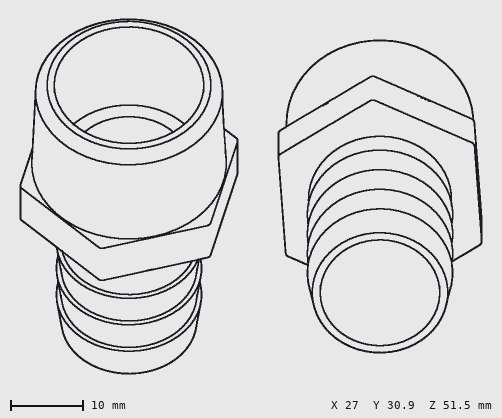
import cadquery as cq
import math

total_height = 51.55
hex_height = 7.0
thread_length = 17.05
hex_top = total_height - thread_length
hex_bottom = hex_top - hex_height

hex_across_flats = 26.95
hex_across_corners = hex_across_flats / math.cos(math.radians(30))
hex_corner_radius = 0.7

thread_base_diameter = 26.7
thread_top_diameter = 25.7
thread_tip_diameter = 22.5
thread_chamfer_height = 1.5

barb_small_diameter = 18.6
barb_large_diameter = 19.95
barb_pitch = 5.8
barb_count = math.ceil(hex_bottom / barb_pitch)

hose_bore_diameter = 16.4
thread_bore_diameter = 20.5


def frustum(bottom_z, height, bottom_diameter, top_diameter):
    """Solid cone section about the Z axis."""
    solid = cq.Solid.makeCone(
        bottom_diameter / 2, top_diameter / 2, height, cq.Vector(0, 0, bottom_z)
    )
    return cq.Workplane("XY").newObject([solid])


def make_hex_collar():
    """Hexagonal prism with corners on the Y axis and rounded vertical edges."""
    return (
        cq.Workplane("XY", origin=(0, 0, hex_bottom))
        .polygon(6, hex_across_corners)
        .extrude(hex_height)
        .rotate((0, 0, 0), (0, 0, 1), 30)
        .edges("|Z")
        .fillet(hex_corner_radius)
    )


def make_threaded_end():
    """Tapered barrel with a lead-in chamfer at its tip."""
    chamfer_start = total_height - thread_chamfer_height
    barrel = frustum(hex_top, chamfer_start - hex_top, thread_base_diameter, thread_top_diameter)
    tip = frustum(chamfer_start, thread_chamfer_height, thread_top_diameter, thread_tip_diameter)
    return barrel.union(tip)


def make_barb(index):
    """One barb, widening upward and ending at the collar if it is the last."""
    bottom_z = index * barb_pitch
    height = min(barb_pitch, hex_bottom - bottom_z)
    widening = (barb_large_diameter - barb_small_diameter) * height / barb_pitch
    return frustum(bottom_z, height, barb_small_diameter, barb_small_diameter + widening)


body = make_hex_collar().union(make_threaded_end())
for barb_index in range(barb_count):
    body = body.union(make_barb(barb_index))

hose_bore = cq.Workplane("XY").circle(hose_bore_diameter / 2).extrude(total_height)
thread_bore = (
    cq.Workplane("XY", origin=(0, 0, hex_top))
    .circle(thread_bore_diameter / 2)
    .extrude(thread_length)
)

result = body.cut(hose_bore).cut(thread_bore)